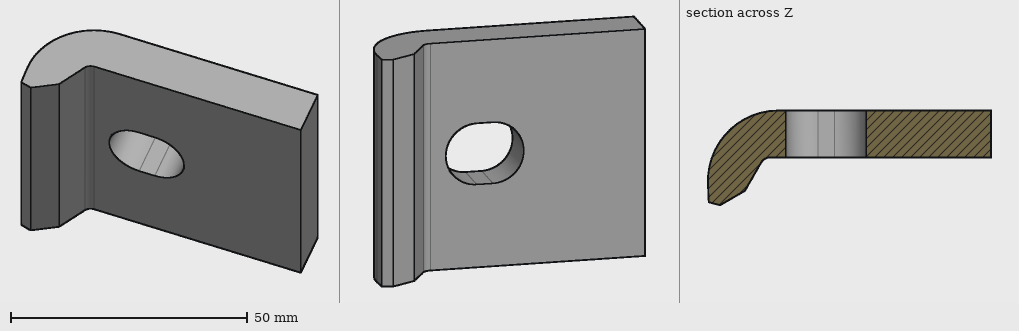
import cadquery as cq
import math

length = 60.0
height = 50.0
thickness = 10.0

bend_radius = 15.0
end_face_lean = 2.5
end_face_depth = 19.45
tip_x = 2.6
hook_depth = 20.1
jaw_slope = 30.0
jaw_corner_x = 7.85
inner_slope = 60.0
inner_fillet_radius = 2.0

slot_length = 17.0
slot_width = 13.45
slot_center_x = 25.0


def slope(degrees):
    return math.tan(math.radians(degrees))


def bend_point(degrees):
    """Point on the bend at an angle around its centre."""
    angle = math.radians(degrees)
    x = bend_radius * (1 + math.cos(angle))
    y = bend_radius * (math.sin(angle) - 1)
    return x, y


def make_hooked_plate():
    """Profile in X and Y, with the back face on Y = 0, extruded along Z."""
    bend_end = bend_point(180 + end_face_lean)
    end_face_x = bend_end[0] + (end_face_depth + bend_end[1]) * slope(end_face_lean)
    jaw_corner_y = -hook_depth + (jaw_corner_x - tip_x) * slope(jaw_slope)
    inner_corner_x = jaw_corner_x + (-thickness - jaw_corner_y) / slope(inner_slope)

    plate = (
        cq.Workplane("XY")
        .moveTo(length, 0)
        .lineTo(bend_radius, 0)
        .threePointArc(bend_point(135), bend_end)
        .lineTo(end_face_x, -end_face_depth)
        .lineTo(tip_x, -hook_depth)
        .lineTo(jaw_corner_x, jaw_corner_y)
        .lineTo(inner_corner_x, -thickness)
        .lineTo(length, -thickness)
        .close()
        .extrude(height)
    )
    inner_corner = cq.selectors.NearestToPointSelector((inner_corner_x, -thickness, height / 2))
    return plate.edges(inner_corner).fillet(inner_fillet_radius)


def make_slot_cutter():
    """Round-ended slot along X, running through the plate from its back face."""
    return (
        cq.Workplane("XZ")
        .center(slot_center_x, height / 2)
        .slot2D(slot_length, slot_width)
        .extrude(thickness)
    )


result = make_hooked_plate().cut(make_slot_cutter())